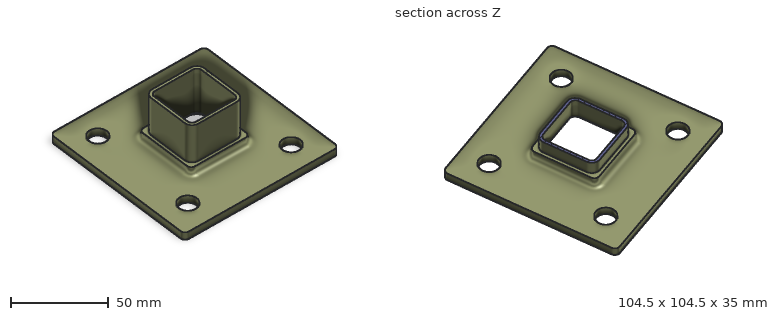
import cadquery as cq

plate_side = 104.5
plate_thickness = 5.0
plate_corner_radius = 3.0

hole_diameter = 12.0
hole_spacing = 70.0

collar_side = 40.0
collar_height = 5.0
collar_corner_radius = 3.0
flare_radius = 5.0

tube_side = 35.9
tube_wall = 2.0
tube_corner_radius = 5.0
tube_height = 25.0

bore_side = tube_side - 2 * tube_wall
bore_corner_radius = tube_corner_radius - tube_wall
mouth_depth = plate_thickness / 2
mouth_side = bore_side + 2 * flare_radius
mouth_corner_radius = bore_corner_radius + flare_radius

collar_top = plate_thickness + collar_height
total_height = collar_top + tube_height


def rounded_square(side, corner_radius, height):
    """Square prism standing on Z = 0, centred on Z, with rounded vertical edges."""
    return cq.Workplane("XY").rect(side, side).extrude(height).edges("|Z").fillet(corner_radius)


def flared_post(slab, slab_height, post_side, post_corner_radius):
    """Full-height square post on a slab, with a concave fillet where it meets the slab top."""
    post = rounded_square(post_side, post_corner_radius, total_height)
    reach = (post_side + flare_radius) / 2
    band = flare_radius / 4
    seam = cq.selectors.BoxSelector(
        (-reach, -reach, slab_height - band),
        (reach, reach, slab_height + band),
    )
    return slab.union(post).edges(seam).fillet(flare_radius)


def plate_and_collar():
    plate = rounded_square(plate_side, plate_corner_radius, plate_thickness)
    flared_plate = flared_post(plate, plate_thickness, collar_side, collar_corner_radius)
    below_collar_top = cq.Workplane("XY").rect(plate_side, plate_side).extrude(collar_top)
    return flared_plate.intersect(below_collar_top)


def bolt_holes():
    return (
        cq.Workplane("XY")
        .rect(hole_spacing, hole_spacing, forConstruction=True)
        .vertices()
        .circle(hole_diameter / 2)
        .extrude(plate_thickness)
    )


def bore():
    """Void of the bore: a column that widens through a quarter-round into the mouth."""
    slab = rounded_square(plate_side, plate_corner_radius, mouth_depth)
    flared_column = flared_post(slab, mouth_depth, bore_side, bore_corner_radius)
    mouth_column = rounded_square(mouth_side, mouth_corner_radius, total_height)
    return flared_column.intersect(mouth_column)


tube = rounded_square(tube_side, tube_corner_radius, total_height)

result = plate_and_collar().union(tube).cut(bolt_holes()).cut(bore())